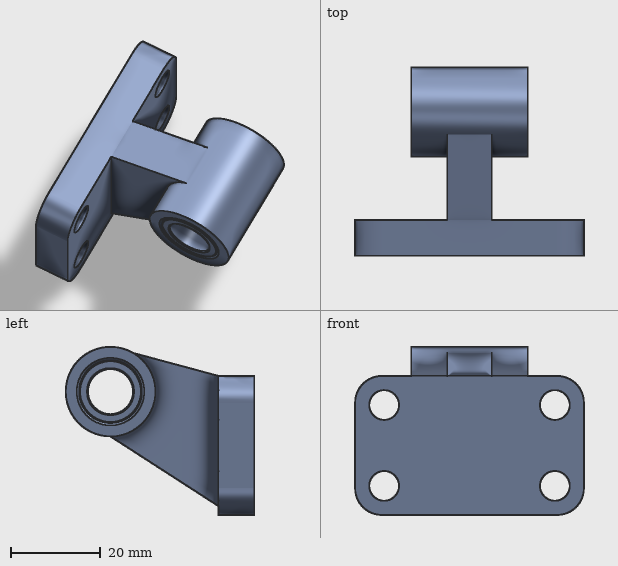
import cadquery as cq
import math

plate_width = 51.0
plate_height = 31.0
plate_thickness = 8.0
corner_radius = 6.0
bolt_hole_diameter = 6.6
bolt_spacing_x = 38.0
bolt_spacing_z = 18.0

overall_depth = 42.0
overall_height = 37.5
hub_diameter = 20.0
hub_length = 26.0
hub_radius = hub_diameter / 2
hub_y = overall_depth - hub_radius
hub_z = overall_height - hub_radius

bushing_diameter = 14.0
bore_diameter = 10.0
hub_chamfer_width = 0.5
hub_chamfer_depth = 0.3
bushing_chamfer = 0.25
bore_chamfer = 0.25

web_width = hub_radius
web_top_angle = math.radians(30.5)
web_bottom_z = 2.0


def make_plate():
    plate = (
        cq.Workplane("XY")
        .box(plate_width, plate_thickness, plate_height)
        .edges("|Y")
        .fillet(corner_radius)
    )
    holes = (
        cq.Workplane("XZ")
        .rarray(bolt_spacing_x, bolt_spacing_z, 2, 2)
        .circle(bolt_hole_diameter / 2)
        .extrude(plate_thickness)
        .translate((0, plate_thickness / 2, 0))
    )
    return plate.cut(holes).translate((0, plate_thickness / 2, plate_height / 2))


def make_web():
    top_y = hub_y - hub_radius * math.sin(web_top_angle)
    top_z = hub_z + hub_radius * math.cos(web_top_angle)
    outline = [
        (plate_thickness, web_bottom_z),
        (plate_thickness, plate_height),
        (top_y, top_z),
        (hub_y, hub_z),
        (hub_y, hub_z - hub_radius),
    ]
    return cq.Workplane("YZ", origin=(-web_width / 2, 0, 0)).polyline(outline).close().extrude(web_width)


def make_hub():
    end_face = cq.Workplane("YZ", origin=(-hub_length / 2, hub_y, hub_z))
    return end_face.circle(hub_radius).extrude(hub_length)


def make_bore():
    """Through bore with a chamfer at both ends."""
    radius = bore_diameter / 2
    end = hub_length / 2
    outline = [
        (-end, 0),
        (-end, radius + bore_chamfer),
        (-end + bore_chamfer, radius),
        (end - bore_chamfer, radius),
        (end, radius + bore_chamfer),
        (end, 0),
    ]
    profile = cq.Workplane("XY").polyline(outline).close()
    return profile.revolve(360, (0, 0), (1, 0)).translate((0, hub_y, hub_z))


def make_joint_groove(side):
    """V groove between the hub and bushing chamfers on one end face."""
    seat_radius = bushing_diameter / 2
    end = hub_length / 2
    outline = [
        (side * end, seat_radius - bushing_chamfer),
        (side * (end - bushing_chamfer), seat_radius),
        (side * (end - hub_chamfer_depth), seat_radius),
        (side * end, seat_radius + hub_chamfer_width),
    ]
    profile = cq.Workplane("XY").polyline(outline).close()
    return profile.revolve(360, (0, 0), (1, 0)).translate((0, hub_y, hub_z))


result = make_plate().union(make_web()).union(make_hub()).cut(make_bore())
for end_side in (-1, 1):
    result = result.cut(make_joint_groove(end_side))